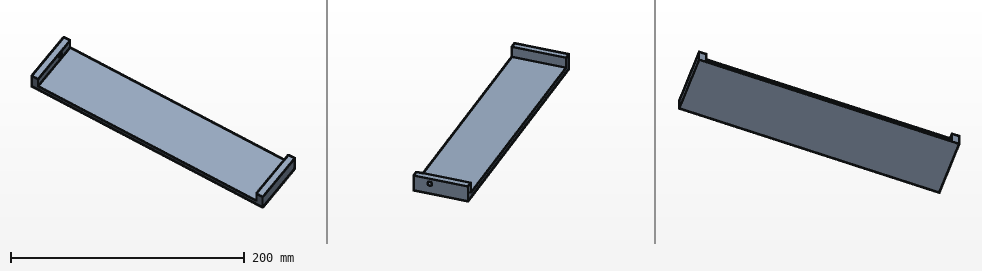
import cadquery as cq

length = 237.0
width = 50.0
height = 15.0
floor_thickness = 5.0
wall_thickness = 6.6

hole_diameter = 4.0
hole_from_back = 15.0
hole_below_top = 5.0


def tray():
    """Flat floor with an upright wall at each X end."""
    block = cq.Workplane("XY").box(length, width, height, centered=(True, True, False))
    channel = (
        cq.Workplane("XY", origin=(0, 0, floor_thickness))
        .box(length - 2 * wall_thickness, width, height, centered=(True, True, False))
    )
    return block.cut(channel)


def end_wall_hole():
    """Cylinder along X that passes through the -X wall only."""
    start = (-length / 2, width / 2 - hole_from_back, height - hole_below_top)
    return cq.Workplane("YZ", origin=start).circle(hole_diameter / 2).extrude(wall_thickness)


result = tray().cut(end_wall_hole())